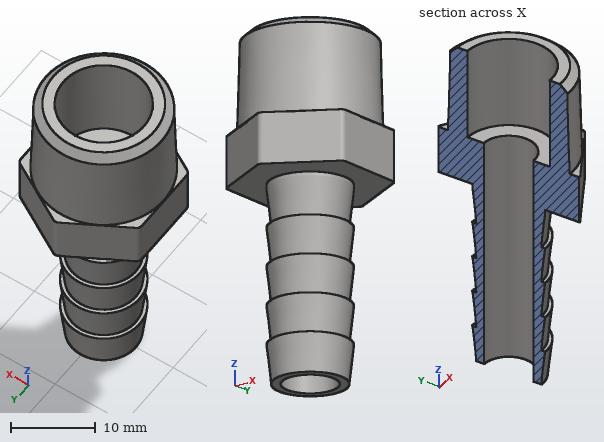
import cadquery as cq

total_length = 43.26
hex_height = 6.4
thread_length = 12.13
tail_length = total_length - hex_height - thread_length
hex_top = tail_length + hex_height

barb_count = 5
barb_pitch = 4.85
barb_large_radius = 10.36 / 2
barb_small_radius = 9.26 / 2

hex_across_flats = 17.46
hex_corner_radius = 0.75

taper_base_radius = 17.34 / 2
taper_tip_radius = 16.7 / 2
end_face_radius = 14.5 / 2
chamfer_height = 0.95

bore_diameter = 7.0
counterbore_diameter = 11.6
counterbore_depth = thread_length


def revolve_about_axis(profile_points):
    """Revolve a closed (radius, height) outline about the Z axis."""
    return cq.Workplane("XZ").polyline(profile_points).close().revolve(360, (0, 0), (0, 1))


def make_hose_tail():
    """Stack of saw-tooth barbs, ending in a short plain neck under the hexagon."""
    points = [(0, 0)]
    for index in range(barb_count):
        barb_bottom = index * barb_pitch
        points.append((barb_small_radius, barb_bottom))
        points.append((barb_large_radius, barb_bottom + barb_pitch))
    points.append((barb_large_radius, tail_length))
    points.append((0, tail_length))
    return revolve_about_axis(points)


def make_hexagon():
    """Hexagonal prism with rounded corners, two flats facing along X."""
    return (
        cq.Workplane("XY", origin=(0, 0, tail_length))
        .polygon(6, hex_across_flats, circumscribed=True)
        .extrude(hex_height)
        .edges("|Z")
        .fillet(hex_corner_radius)
    )


def make_tapered_end():
    """Tapered male end with a chamfered tip."""
    return revolve_about_axis([
        (0, hex_top),
        (taper_base_radius, hex_top),
        (taper_tip_radius, total_length - chamfer_height),
        (end_face_radius, total_length),
        (0, total_length),
    ])


def cut_passage(body):
    """Cut the wide bore of the male end and the narrow bore through the tail."""
    return (
        body.faces(">Z")
        .workplane(origin=(0, 0, total_length))
        .cboreHole(bore_diameter, counterbore_diameter, counterbore_depth)
    )


fitting = make_hose_tail().union(make_hexagon()).union(make_tapered_end())
result = cut_passage(fitting)